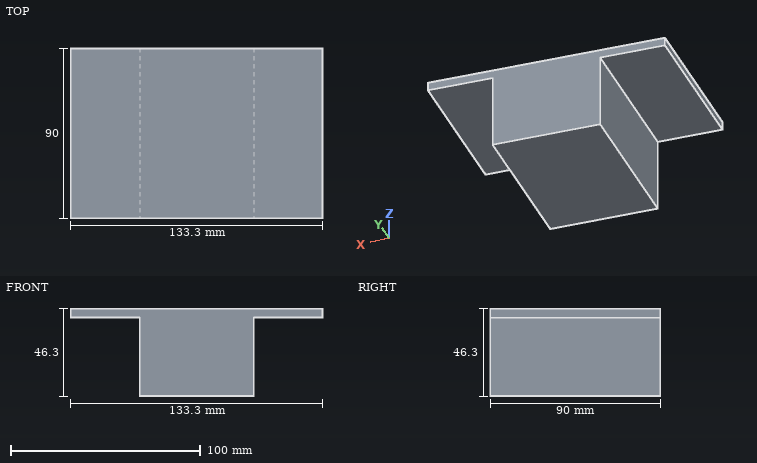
import cadquery as cq

plate_width = 133.31
part_length = 90.0
total_height = 46.27
plate_thickness = 4.77
block_width = 60.5

block_height = total_height - plate_thickness


def make_block():
    """Solid block standing on Z = 0, centred in X and Y."""
    return cq.Workplane("XY").box(
        block_width, part_length, block_height, centered=(True, True, False)
    )


def make_plate():
    """Flat plate on top of the block, overhanging it equally on both X sides."""
    return (
        cq.Workplane("XY")
        .workplane(offset=block_height)
        .box(plate_width, part_length, plate_thickness, centered=(True, True, False))
    )


result = make_block().union(make_plate())